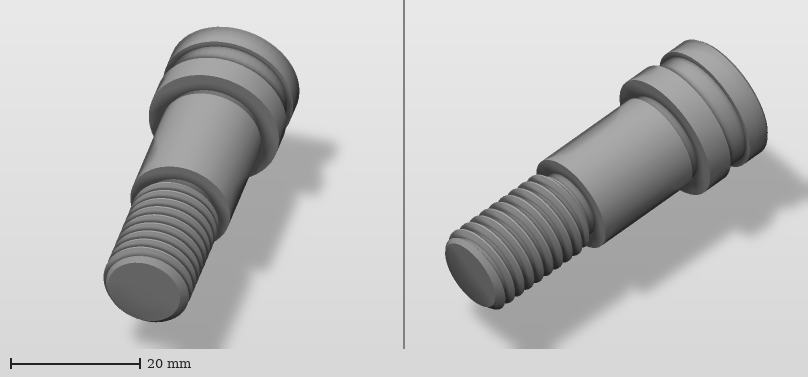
import cadquery as cq
import math

total_length = 53.0
thread_length = 19.5
shoulder_start = 21.0
shoulder_end = 39.05
head_start = 40.55
groove_start = 44.85
groove_end = 48.8

head_diameter = 20.9
groove_diameter = 19.0
head_neck_diameter = 14.95
shoulder_diameter = 16.0
thread_neck_diameter = 11.0
crest_diameter = 14.0
tip_diameter = 11.55
head_chamfer = 0.5

thread_turns = 9.75
pitch = thread_length / thread_turns
first_crest = 0.9
flank_angle = math.radians(30)
crest_flat = pitch / 8
root_flat = pitch / 4
thread_depth = (pitch - crest_flat - root_flat) / 2 / math.tan(flank_angle)
crest_radius = crest_diameter / 2
root_radius = crest_radius - thread_depth
root_overlap = 0.15
envelope_clearance = 0.55


def cylinder(diameter, start, end):
    """Round section between two stations on the Z axis."""
    return cq.Workplane("XY").workplane(offset=start).circle(diameter / 2).extrude(end - start)


def make_head():
    """Chamfered head with a rectangular groove around it."""
    lower_collar = cylinder(head_diameter, head_start, groove_start)
    groove_floor = cylinder(groove_diameter, groove_start, groove_end)
    upper_collar = cylinder(head_diameter, groove_end, total_length)
    upper_collar = upper_collar.faces(">Z").chamfer(head_chamfer)
    return lower_collar.union(groove_floor).union(upper_collar)


def make_shank():
    """Shoulder with a relief neck at each end."""
    thread_neck = cylinder(thread_neck_diameter, thread_length, shoulder_start)
    shoulder = cylinder(shoulder_diameter, shoulder_start, shoulder_end)
    head_neck = cylinder(head_neck_diameter, shoulder_end, head_start)
    return thread_neck.union(shoulder).union(head_neck)


def make_thread_envelope():
    """Oversized blank with 45 degree end chamfers, clear of the thread crests."""
    envelope_radius = crest_radius + envelope_clearance
    return (
        cylinder(2 * envelope_radius, 0, thread_length)
        .faces("<Z").chamfer(envelope_radius - tip_diameter / 2)
        .faces(">Z").chamfer(envelope_radius - root_radius)
    )


def make_thread_ridge():
    """Helical ridge that runs past both ends of the thread."""
    ridge_start = first_crest - pitch
    ridge_length = thread_length + 2 * pitch
    base_radius = root_radius - root_overlap
    half_base = (pitch - root_flat) / 2 + root_overlap * math.tan(flank_angle)
    half_crest = crest_flat / 2
    path = cq.Workplane(cq.Wire.makeHelix(pitch, ridge_length, root_radius))
    ridge = (
        cq.Workplane("XZ")
        .polyline([
            (base_radius, -half_base),
            (crest_radius, -half_crest),
            (crest_radius, half_crest),
            (base_radius, half_base),
        ])
        .close()
        .sweep(path, isFrenet=True)
    )
    return ridge.translate((0, 0, ridge_start))


def make_thread():
    """Threaded end: core and ridge trimmed to the chamfered envelope."""
    envelope = make_thread_envelope()
    core = cylinder(2 * root_radius, 0, thread_length).intersect(envelope)
    ridge = make_thread_ridge().intersect(envelope)
    return core.union(ridge)


screw = make_thread().union(make_shank()).union(make_head())

result = screw.rotate((0, 0, 0), (1, 0, 0), -90)